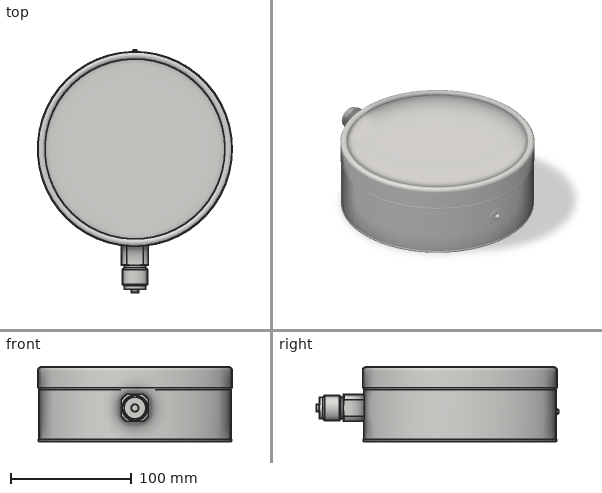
import cadquery as cq

case_height = 62.0
case_radius = 159.6 / 2
bezel_radius = 161.2 / 2
bezel_bottom = 44.6
bezel_round = 3.0
bezel_width = 2 * bezel_round
dial_depth = bezel_round
seam_height = 1.8
seam_inset = 0.6
base_height = 2.0
base_overhang = 0.5
base_inset = 0.6
base_bulge_height = 1.2

stem_z = 28.0
stem_root = 72.4
block_end = 96.5
block_width = 22.3
block_corner_diameter = 26.1
block_chamfer_length = 0.6
block_chamfer_depth = 2.0
neck_diameter = 18.0
thread_start = 98.5
thread_end = 113.4
thread_diameter = 21.0
thread_chamfer = 1.5
collar_diameter = 18.0
collar_end = 116.5
pin_diameter = 6.0
stem_tip = 119.0

plug_z = 25.0
plug_diameter = 15.0
plug_root = 72.4
plug_face = 80.0
stud_tip = 201 - stem_tip
stud_tip_diameter = 2.5
stud_root_diameter = 4.8


def y_cylinder(diameter, y_from, y_to, z):
    """Cylinder along Y between two Y positions, centred on X = 0."""
    plane = cq.Plane(origin=(0, y_from, z), xDir=(1, 0, 0), normal=(0, 1, 0))
    return cq.Workplane(plane).circle(diameter / 2).extrude(y_to - y_from)


def make_case():
    """Revolve the drum with its base rim, tapered seam and rounded bezel."""
    seam_bottom = bezel_bottom - seam_height
    seam_radius = case_radius - seam_inset
    base_radius = case_radius + base_overhang
    dial_z = case_height - dial_depth
    profile = (
        cq.Workplane("XZ")
        .lineTo(case_radius - base_inset, 0)
        .threePointArc((base_radius, base_bulge_height), (case_radius, base_height))
        .lineTo(case_radius, seam_bottom)
        .lineTo(seam_radius, bezel_bottom)
        .lineTo(bezel_radius, bezel_bottom)
        .lineTo(bezel_radius, dial_z)
        .threePointArc(
            (bezel_radius - bezel_round, case_height),
            (bezel_radius - bezel_width, dial_z),
        )
        .lineTo(0, dial_z)
        .close()
    )
    return profile.revolve(360, (0, 0, 0), (0, 1, 0))


def make_stem():
    """Square wrench block, neck, thread, end collar and pin."""
    block_length = block_end - stem_root
    block = cq.Workplane("XY").box(block_width, block_length, block_width)
    block = block.translate((0, -(stem_root + block_end) / 2, stem_z))
    corners = y_cylinder(block_corner_diameter, -block_end, -stem_root, stem_z)
    corners = corners.faces("<Y").chamfer(block_chamfer_length, block_chamfer_depth)
    thread = y_cylinder(thread_diameter, -thread_end, -thread_start, stem_z)
    thread = thread.faces("<Y or >Y").chamfer(thread_chamfer)
    return (
        block.intersect(corners)
        .union(y_cylinder(neck_diameter, -thread_start, -block_end, stem_z))
        .union(thread)
        .union(y_cylinder(collar_diameter, -collar_end, -thread_end, stem_z))
        .union(y_cylinder(pin_diameter, -stem_tip, -collar_end, stem_z))
    )


def make_plug():
    """Plug slightly proud of the +Y wall, carrying a stud that narrows outward."""
    plug = y_cylinder(plug_diameter, plug_root, plug_face, plug_z)
    stud_profile = (
        cq.Workplane("XY")
        .moveTo(0, plug_root)
        .lineTo(stud_root_diameter / 2, plug_root)
        .lineTo(stud_root_diameter / 2, plug_face)
        .lineTo(stud_tip_diameter / 2, stud_tip)
        .lineTo(0, stud_tip)
        .close()
    )
    stud = stud_profile.revolve(360, (0, 0, 0), (0, 1, 0))
    return plug.union(stud.translate((0, 0, plug_z)))


result = make_case().union(make_stem()).union(make_plug())